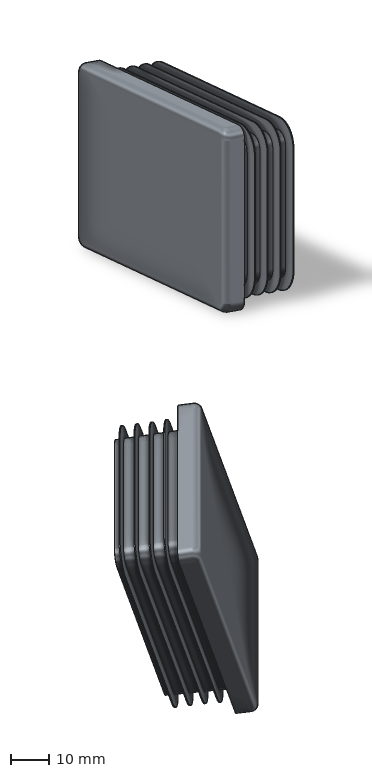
import cadquery as cq

cap_width = 74.3
cap_height = 50.6
cap_thickness = 6.0
cap_corner_radius = 3.0
cap_edge_fillet = 2.0

overall_depth = 23.9
plug_depth = overall_depth - cap_thickness
corner_centre_x = 29.1
corner_centre_z = 16.6
core_radius_at_cap = 4.0
core_radius_at_rear = 3.6

fin_count = 4
fin_pitch = 4.0
rear_fin_inset = 2.0
fin_tip_thickness = 0.3
fin_root_thickness = 0.5
fin_corner_radius = 7.05
cap_side_fin_corner_radius = 7.2


def rounded_outline(radius):
    """Rounded rectangle whose corner arcs are centred on the shared corner centres."""
    width = 2 * (corner_centre_x + radius)
    height = 2 * (corner_centre_z + radius)
    return cq.Sketch().rect(width, height).vertices().fillet(radius)


def rounded_loft(start_y, start_radius, end_y, end_radius):
    """Solid with straight sloping sides between two rounded rectangles, end_y > start_y."""
    start = rounded_outline(start_radius)
    end = rounded_outline(end_radius).moved(cq.Location(cq.Vector(0, 0, start_y - end_y)))
    return cq.Workplane("XZ", origin=(0, start_y, 0)).placeSketch(start, end).loft(ruled=True)


def make_cap():
    block = cq.Workplane("XY").box(cap_width, cap_thickness, cap_height, centered=(True, False, True))
    block = block.translate((0, -cap_thickness, 0))
    return block.edges("|Y").fillet(cap_corner_radius).faces("<Y").edges().fillet(cap_edge_fillet)


def make_core():
    return rounded_loft(0, core_radius_at_cap, plug_depth, core_radius_at_rear)


def make_fin(rear_y, radius):
    """Flat rim of tip thickness, with a front face sloping to the root thickness at the core."""
    rim_front_y = rear_y - fin_tip_thickness
    root_front_y = rear_y - fin_root_thickness
    rim = rounded_loft(rim_front_y, radius, rear_y, radius)
    slope = rounded_loft(root_front_y, core_radius_at_rear, rim_front_y, radius)
    return rim.union(slope)


result = make_cap().union(make_core())
for index in range(fin_count):
    is_cap_side_fin = index == fin_count - 1
    radius = cap_side_fin_corner_radius if is_cap_side_fin else fin_corner_radius
    fin_rear_y = plug_depth - rear_fin_inset - index * fin_pitch
    result = result.union(make_fin(fin_rear_y, radius))